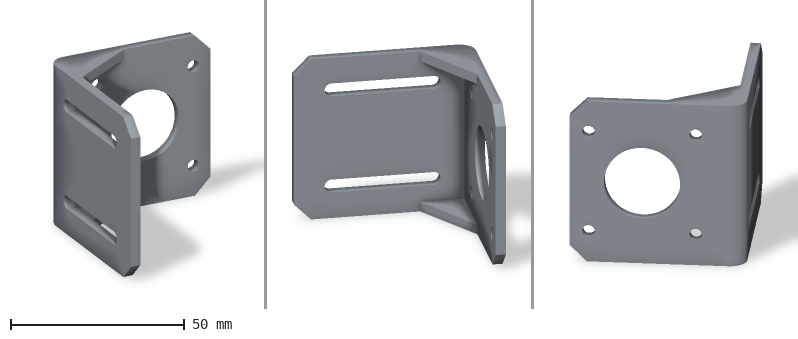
import cadquery as cq

length_x = 53.0
length_y = 51.0
height = 50.0
thickness = 3.0
bend_radius = 5.0
corner_chamfer = 5.0

slot_start = 10.0
slot_end = 44.0
slot_width = 4.0
slot_spacing = 30.0

motor_center_y = 30.0
motor_bore = 22.0
screw_hole = 3.6
screw_spacing = 31.0

gusset_reach_x = 16.0
gusset_reach_y = 23.0
gusset_thickness = thickness

mid_height = height / 2


def make_angle():
    """L-shaped sheet with a rounded outer bend and a sharp inner corner."""
    return (
        cq.Workplane("XY")
        .polyline([
            (0, 0),
            (length_x, 0),
            (length_x, thickness),
            (thickness, thickness),
            (thickness, length_y),
            (0, length_y),
        ])
        .close()
        .extrude(height)
        .edges("|Z").edges("<X and <Y")
        .fillet(bend_radius)
    )


def make_gusset(base_z):
    """Triangular web joining both flanges."""
    return (
        cq.Workplane("XY", origin=(0, 0, base_z))
        .polyline([
            (thickness, thickness),
            (gusset_reach_x, thickness),
            (thickness, gusset_reach_y),
        ])
        .close()
        .extrude(gusset_thickness)
    )


def make_slots():
    """Two horizontal slots through the flange along X."""
    slot_center_x = (slot_start + slot_end) / 2
    return (
        cq.Workplane("XZ", origin=(slot_center_x, 0, mid_height))
        .rarray(0.55, slot_spacing, 1, 2)
        .slot2D(slot_end - slot_start, slot_width)
        .extrude(-thickness)
    )


def make_motor_holes():
    """Central bore and four screw holes through the flange along Y."""
    face = cq.Workplane("YZ", origin=(0, motor_center_y, mid_height))
    bore = face.circle(motor_bore / 2).extrude(thickness)
    screws = (
        face.rarray(screw_spacing, screw_spacing, 2, 2)
        .circle(screw_hole / 2)
        .extrude(thickness)
    )
    return bore.union(screws)


angle = make_angle()
angle = angle.edges("|Y and >X").chamfer(corner_chamfer)
angle = angle.edges("|X and >Y").chamfer(corner_chamfer)

result = angle.cut(make_slots()).cut(make_motor_holes())
for gusset_base in (0, height - gusset_thickness):
    result = result.union(make_gusset(gusset_base))